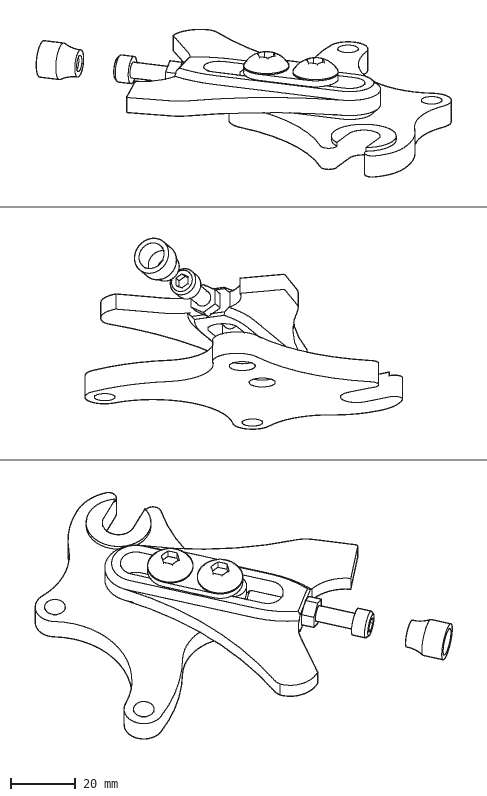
import cadquery as cq
import math


plate_thickness = 7.0
rail_height = 9.2
wing_thickness = 5.0
washer_thickness = 2.0
rail_bottom = plate_thickness
rail_top = rail_bottom + rail_height
screw_axis_z = rail_bottom + rail_height / 2
wing_bottom = screw_axis_z - wing_thickness / 2
washer_top = rail_top + washer_thickness

bolt_spacing = 16.0
bolt_positions = [(0, 0), (bolt_spacing, 0)]
bolt_shank_diameter = 7.92
bolt_shank_length = 16.0
bolt_head_diameter = 14.0
bolt_head_height = 4.4
bolt_head_rim = 0.4
bolt_socket_flats = 5.0
bolt_socket_depth = 2.9
bolt_hole_diameter = 8.0
washer_hole_diameter = 8.3

ear_radius = 6.1
ear_hole_diameter = 6.35
upper_ear = (9.56, 49.85)
rear_ear = (48.1, 16.6)
ear_bridge_radius = 24.8
waist_radius = 22.0
cheek_center = (26.75, -19.4)
cheek_radius = 26.8
nose_radius = 7.5
nose_tip_x = -11.8
nose_angle = 99.0
axle_center = (39.2, -21.9)
axle_slot_width = 10.0
axle_slot_tilt = 7.5
axle_pad_diameter = 20.0
axle_pad_height = 1.2
guide_width = 9.3
guide_left_end = -8.35
guide_right_end = bolt_spacing + guide_width / 2
guide_top = 15.5

bracket_front_x = -27.4
rail_width = 19.2
rail_end_center_x = 27.05
rail_taper_start_x = -13.9
rail_taper_drop = 2.7
rail_bevel = (rail_height - wing_thickness) / 2
rail_front_bevel = 0.8
slot_width = 9.5
slot_left_end = -20.1
slot_right_end = rail_end_center_x + slot_width / 2

screw_diameter = 5.0
screw_head_diameter = 8.5
screw_head_length = 5.0
screw_length = 35.0
screw_tip_x = -8.5
screw_tip_chamfer = 0.8
screw_head_chamfer = 0.8
screw_socket_flats = 4.0
screw_socket_depth = 2.5
nut_flats = 8.0
nut_thickness = 4.0

ferrule_diameter = 11.4
ferrule_left_x = -72.97
ferrule_length = 12.1
ferrule_body_length = 6.4
ferrule_tip_diameter = 8.5
ferrule_neck_x = 8.9
ferrule_neck_diameter = 9.3
ferrule_bore = 8.3
ferrule_bore_depth = 7.5
ferrule_cone_length = 3.6
ferrule_outlet = 5.0


def toward(start, target, distance):
    """Point at a distance from start on the ray to target."""
    angle = math.atan2(target[1] - start[1], target[0] - start[0])
    return (start[0] + distance * math.cos(angle), start[1] + distance * math.sin(angle))


def tangent_center(first, first_distance, second, second_distance):
    """Point at given distances from two points, to the left of the ray first -> second."""
    gap = math.dist(first, second)
    along = (gap**2 + first_distance**2 - second_distance**2) / (2 * gap)
    across = math.sqrt(first_distance**2 - along**2)
    ux = (second[0] - first[0]) / gap
    uy = (second[1] - first[1]) / gap
    return (first[0] + along * ux - across * uy, first[1] + along * uy + across * ux)


def arc_middle(center, start, end):
    """Middle of the shorter arc from start to end about center."""
    chord_middle = ((start[0] + end[0]) / 2, (start[1] + end[1]) / 2)
    return toward(center, chord_middle, math.dist(center, start))


def obround(left, right, width, bottom, height):
    """Flat bar with full-round ends, lying along X at Y = 0."""
    return (
        cq.Workplane("XY", origin=((left + right) / 2, 0, bottom))
        .slot2D(right - left, width)
        .extrude(height)
    )


def rod_x(start_x, length, diameter):
    """Cylinder on the adjusting screw axis."""
    return (
        cq.Workplane("YZ", origin=(start_x, 0, screw_axis_z))
        .circle(diameter / 2)
        .extrude(length)
    )


def hexagon_x(start_x, length, flats):
    """Hexagonal prism on the adjusting screw axis, with corners up and down."""
    return (
        cq.Workplane("YZ", origin=(start_x, 0, screw_axis_z))
        .transformed(rotate=(0, 0, 90))
        .polygon(6, flats / math.cos(math.pi / 6))
        .extrude(length)
    )


def bolt_holes(diameter, bottom, height):
    return (
        cq.Workplane("XY", origin=(0, 0, bottom))
        .pushPoints(bolt_positions)
        .circle(diameter / 2)
        .extrude(height)
    )


def plate_outline():
    """Closed outline of the dropout plate, drawn clockwise from the upper ear."""
    bridge_reach = ear_radius + ear_bridge_radius
    bridge_center = tangent_center(upper_ear, bridge_reach, rear_ear, bridge_reach)
    waist_center = tangent_center(
        rear_ear, ear_radius + waist_radius, cheek_center, cheek_radius + waist_radius
    )

    ear_left = toward(upper_ear, (upper_ear[0] - 1, upper_ear[1] + 0.2), ear_radius)
    ear_top = (upper_ear[0], upper_ear[1] + ear_radius)
    bridge_start = toward(upper_ear, bridge_center, ear_radius)
    bridge_end = toward(rear_ear, bridge_center, ear_radius)
    waist_start = toward(rear_ear, waist_center, ear_radius)
    waist_end = toward(cheek_center, waist_center, cheek_radius)
    rear_ear_middle = toward(rear_ear, (rear_ear[0] + 1, rear_ear[1] + 0.6), ear_radius)

    tilt = math.radians(axle_slot_tilt)
    slot_radius = axle_slot_width / 2
    across = (slot_radius * math.cos(tilt), -slot_radius * math.sin(tilt))

    def slot_edge(side, depth):
        return (
            axle_center[0] + side * across[0] - depth * math.sin(tilt),
            axle_center[1] + side * across[1] - depth * math.cos(tilt),
        )

    slot_top = (
        axle_center[0] + slot_radius * math.sin(tilt),
        axle_center[1] + slot_radius * math.cos(tilt),
    )
    rear_prong_depth = 9.1
    front_prong_depth = 8.4
    cheek_end = toward(cheek_center, (cheek_center[0] + 1, cheek_center[1] - 0.13), cheek_radius)

    nose_center_x = nose_tip_x + nose_radius
    nose_x = nose_center_x + nose_radius * math.cos(math.radians(nose_angle))
    nose_y = nose_radius * math.sin(math.radians(nose_angle))

    return (
        cq.Workplane("XY")
        .moveTo(*ear_left)
        .threePointArc(ear_top, bridge_start)
        .threePointArc(arc_middle(bridge_center, bridge_start, bridge_end), bridge_end)
        .threePointArc(rear_ear_middle, waist_start)
        .threePointArc(arc_middle(waist_center, waist_start, waist_end), waist_end)
        .threePointArc(arc_middle(cheek_center, waist_end, cheek_end), cheek_end)
        .threePointArc((51.3, -29.3), (47.0, -33.85))
        .threePointArc((44.7, -34.25), slot_edge(1, rear_prong_depth))
        .lineTo(*slot_edge(1, 0))
        .threePointArc(slot_top, slot_edge(-1, 0))
        .lineTo(*slot_edge(-1, front_prong_depth))
        .threePointArc((30.5, -32.55), (28.2, -31.1))
        .threePointArc((17.3, -18.6), (nose_x, -nose_y))
        .threePointArc((nose_tip_x, 0), (nose_x, nose_y))
        .threePointArc((3.8, 17.0), (4.3, 25.7))
        .threePointArc((2.3, 39.0), ear_left)
        .close()
    )


def make_dropout_plate():
    plate = plate_outline().extrude(plate_thickness)
    pad_envelope = plate_outline().extrude(plate_thickness + axle_pad_height)
    pad = (
        cq.Workplane("XY", origin=(*axle_center, 0))
        .circle(axle_pad_diameter / 2)
        .extrude(plate_thickness + axle_pad_height)
        .intersect(pad_envelope)
    )
    guide = obround(guide_left_end, guide_right_end, guide_width, 0, guide_top)
    ear_holes = (
        cq.Workplane("XY")
        .pushPoints([upper_ear, rear_ear])
        .circle(ear_hole_diameter / 2)
        .extrude(plate_thickness)
    )
    bolt_bores = bolt_holes(bolt_hole_diameter, 0, guide_top)
    return plate.union(pad).union(guide).cut(ear_holes).cut(bolt_bores)


def make_wings():
    """Flat bracket plate with an upper and a lower arm."""
    rear_radius = rail_width / 2
    rear_angle = math.radians(83)
    rear_x = rail_end_center_x + rear_radius * math.cos(rear_angle)
    rear_y = rear_radius * math.sin(rear_angle)
    rear_upper = (rear_x, rear_y)
    rear_lower = (rear_x, -rear_y)
    return (
        cq.Workplane("XY", origin=(0, 0, wing_bottom))
        .moveTo(bracket_front_x, 6.0)
        .threePointArc((-28.2, 10.0), (-29.8, 13.2))
        .lineTo(-39.2, 25.9)
        .threePointArc((-35.9, 31.9), (-29.4, 34.0))
        .lineTo(-27.9, 33.4)
        .threePointArc((-2.3, 17.4), rear_upper)
        .threePointArc((rail_end_center_x + rear_radius, 0), rear_lower)
        .threePointArc((2.8, -15.8), (-17.3, -25.8))
        .threePointArc((-19.5, -26.7), (-21.9, -27.2))
        .lineTo(-34.95, -28.8)
        .threePointArc((-35.6, -28.6), (-35.8, -28.0))
        .lineTo(-37.6, -14.8)
        .threePointArc((-31.6, -12.2), (bracket_front_x, -7.2))
        .close()
        .extrude(wing_thickness)
    )


def make_rail_half(direction):
    """Half of the slotted rail, beveled on its way up (+1) or down (-1) from the wings."""
    half_width = rail_width / 2
    start_x = bracket_front_x - rail_bevel + rail_front_bevel
    taper_length = rail_taper_start_x - bracket_front_x
    taper_radius = (taper_length**2 + rail_taper_drop**2) / (2 * rail_taper_drop)

    def edge_y(x):
        run = rail_taper_start_x - x
        return half_width - taper_radius + math.sqrt(taper_radius**2 - run**2)

    middle_x = (start_x + rail_taper_start_x) / 2
    face_z = screw_axis_z + direction * wing_thickness / 2
    front_trim = (
        cq.Workplane("XY", origin=(bracket_front_x - rail_bevel / 2, 0, face_z))
        .rect(rail_bevel, rail_width)
        .extrude(direction * rail_bevel)
    )
    return (
        cq.Workplane("XY", origin=(0, 0, face_z))
        .moveTo(start_x, -edge_y(start_x))
        .threePointArc((middle_x, -edge_y(middle_x)), (rail_taper_start_x, -half_width))
        .lineTo(rail_end_center_x, -half_width)
        .threePointArc((rail_end_center_x + half_width, 0), (rail_end_center_x, half_width))
        .lineTo(rail_taper_start_x, half_width)
        .threePointArc((middle_x, edge_y(middle_x)), (start_x, edge_y(start_x)))
        .close()
        .extrude(direction * rail_bevel, taper=45)
        .cut(front_trim)
    )


def make_bracket():
    bracket = make_wings().union(make_rail_half(1)).union(make_rail_half(-1))
    slot = obround(slot_left_end, slot_right_end, slot_width, rail_bottom, rail_height)
    bore_length = slot_left_end + slot_width / 2 - bracket_front_x
    screw_bore = rod_x(bracket_front_x, bore_length, screw_diameter)
    return bracket.cut(slot).cut(screw_bore)


def make_washer():
    """Strap washer shared by both clamp bolts."""
    end = bolt_head_diameter / 2
    strap = obround(-end, bolt_spacing + end, bolt_head_diameter, rail_top, washer_thickness)
    return strap.cut(bolt_holes(washer_hole_diameter, rail_top, washer_thickness))


def make_bolt(x, y):
    """Button-head bolt with a hexagon socket."""
    head_radius = bolt_head_diameter / 2
    shank_radius = bolt_shank_diameter / 2
    socket = (
        cq.Workplane("XY", origin=(0, 0, bolt_head_height - bolt_socket_depth))
        .polygon(6, bolt_socket_flats / math.cos(math.pi / 6))
        .extrude(bolt_socket_depth)
    )
    dome_rise = bolt_head_height - bolt_head_rim
    dome_radius = (head_radius**2 + dome_rise**2) / (2 * dome_rise)
    middle_radius = head_radius / 2
    middle_height = bolt_head_height - dome_radius + math.sqrt(dome_radius**2 - middle_radius**2)
    return (
        cq.Workplane("XZ")
        .moveTo(0, -bolt_shank_length)
        .lineTo(shank_radius, -bolt_shank_length)
        .lineTo(shank_radius, 0)
        .lineTo(head_radius, 0)
        .lineTo(head_radius, bolt_head_rim)
        .threePointArc((middle_radius, middle_height), (0, bolt_head_height))
        .close()
        .revolve(360, (0, 0), (0, 1))
        .cut(socket)
        .translate((x, y, washer_top))
    )


def make_adjusting_screw():
    under_head_x = screw_tip_x - screw_length
    head_x = under_head_x - screw_head_length
    head = rod_x(head_x, screw_head_length, screw_head_diameter).faces("<X").chamfer(screw_head_chamfer)
    shank = rod_x(under_head_x, screw_length, screw_diameter).faces(">X").chamfer(screw_tip_chamfer)
    return head.union(shank).cut(hexagon_x(head_x, screw_socket_depth, screw_socket_flats))


def make_nut():
    nut_x = bracket_front_x - nut_thickness
    return hexagon_x(nut_x, nut_thickness, nut_flats).cut(rod_x(nut_x, nut_thickness, screw_diameter))


def make_ferrule():
    return (
        cq.Workplane("XY")
        .moveTo(0, ferrule_bore / 2)
        .lineTo(0, ferrule_diameter / 2)
        .lineTo(ferrule_body_length, ferrule_diameter / 2)
        .threePointArc(
            (ferrule_neck_x, ferrule_neck_diameter / 2), (ferrule_length, ferrule_tip_diameter / 2)
        )
        .lineTo(ferrule_length, ferrule_outlet / 2)
        .lineTo(ferrule_bore_depth + ferrule_cone_length, ferrule_outlet / 2)
        .lineTo(ferrule_bore_depth, ferrule_bore / 2)
        .close()
        .revolve(360, (0, 0), (1, 0))
        .translate((ferrule_left_x, 0, screw_axis_z))
    )


dropout_plate = make_dropout_plate()
bracket = make_bracket()
washer = make_washer()
bolts = [make_bolt(x, y) for x, y in bolt_positions]
adjusting_screw = make_adjusting_screw()
nut = make_nut()
ferrule = make_ferrule()

result = cq.Compound.makeCompound([
    dropout_plate.val(),
    bracket.val(),
    washer.val(),
    *[bolt.val() for bolt in bolts],
    adjusting_screw.val(),
    nut.val(),
    ferrule.val(),
])